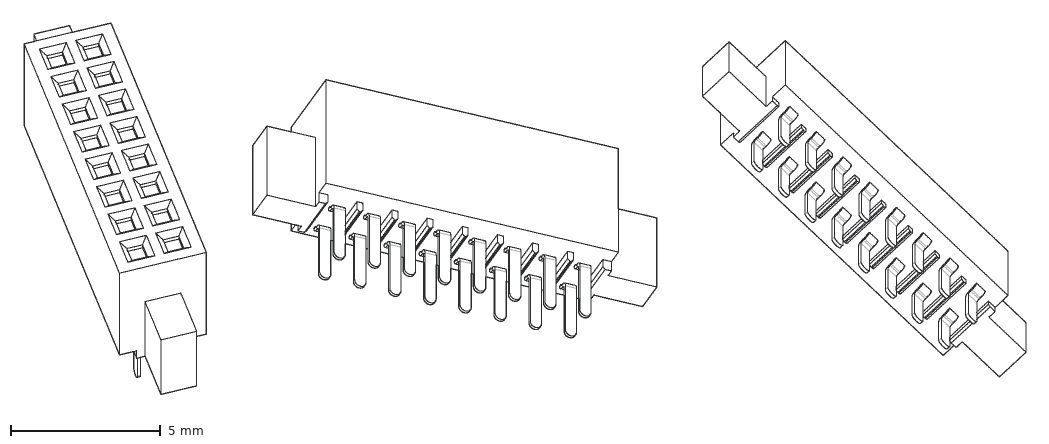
import cadquery as cq

COLUMNS = 8
PITCH = 1.27
column_xs = [(i - (COLUMNS - 1) / 2) * PITCH for i in range(COLUMNS)]
row_ys = [-PITCH / 2, PITCH / 2]

TOTAL_LENGTH = 14.1
BODY_LENGTH = 10.58
BODY_WIDTH = 3.05
BODY_HEIGHT = 4.2
TOTAL_HEIGHT = 6.49

EAR_WIDTH = 1.25
EAR_TOP = 2.43

STANDOFF = 0.38
RIB_WIDTH = 1.83
RIB_THICKNESS = 0.21
RIB_CHAMFER = 0.08

SOCKET_MOUTH = 0.95
SOCKET_BORE = 0.55
FUNNEL_DEPTH = 0.2
SOCKET_DEPTH = 0.35

PIN_WIDTH = 0.41
PIN_THICKNESS = 0.12
PIN_BOTTOM = BODY_HEIGHT - TOTAL_HEIGHT
CRANK_OFFSET = 0.4
CRANK_TOP = -0.08
BEND_OUTER_DIAMETER = 0.45
PIN_ROOT = 0.42


def box(length, width, bottom, top):
    """Block centred on the Z axis between two heights."""
    return cq.Workplane("XY").workplane(offset=bottom).rect(length, width).extrude(top - bottom)


def make_housing():
    """Body with an ear at each end reaching down to the foot of the standoffs."""
    ears = box(TOTAL_LENGTH, EAR_WIDTH, -STANDOFF, EAR_TOP)
    ears = ears.cut(box(BODY_LENGTH, EAR_WIDTH, -STANDOFF, 0))
    return box(BODY_LENGTH, BODY_WIDTH, 0, BODY_HEIGHT).union(ears)


def make_standoffs():
    """Bar under the housing, cut into ribs by an open gap around every contact column."""
    bar = box(BODY_LENGTH, RIB_WIDTH, -STANDOFF, 0)
    half_gap = (PITCH - RIB_THICKNESS) / 2
    gap = (
        cq.Workplane("XZ")
        .moveTo(-half_gap, 0)
        .lineTo(half_gap, 0)
        .lineTo(half_gap, RIB_CHAMFER - STANDOFF)
        .lineTo(half_gap + RIB_CHAMFER, -STANDOFF)
        .lineTo(-half_gap - RIB_CHAMFER, -STANDOFF)
        .lineTo(-half_gap, RIB_CHAMFER - STANDOFF)
        .close()
        .extrude(RIB_WIDTH / 2, both=True)
    )
    for x in column_xs:
        bar = bar.cut(gap.translate((x, 0, 0)))
    return bar


def make_socket():
    """Square funnel leading into a square bore, open at the top face."""
    funnel = (
        cq.Workplane("XY")
        .workplane(offset=BODY_HEIGHT - FUNNEL_DEPTH)
        .rect(SOCKET_BORE, SOCKET_BORE)
        .workplane(offset=FUNNEL_DEPTH)
        .rect(SOCKET_MOUTH, SOCKET_MOUTH)
        .loft()
    )
    bore = box(SOCKET_BORE, SOCKET_BORE, BODY_HEIGHT - SOCKET_DEPTH, BODY_HEIGHT - FUNNEL_DEPTH)
    return funnel.union(bore)


def make_pin():
    """Strip with a double bend and a round tip, its lower leg centred on Y = 0."""
    bend = (BEND_OUTER_DIAMETER - PIN_THICKNESS) / 2
    crank_level = CRANK_TOP - PIN_THICKNESS / 2
    centreline = (
        cq.Workplane("YZ")
        .moveTo(0, PIN_BOTTOM)
        .lineTo(0, crank_level - bend)
        .tangentArcPoint((bend, crank_level), relative=False)
        .lineTo(CRANK_OFFSET - bend, crank_level)
        .tangentArcPoint((CRANK_OFFSET, crank_level + bend), relative=False)
        .lineTo(CRANK_OFFSET, PIN_ROOT)
    )
    strip = cq.Workplane("XY").workplane(offset=PIN_BOTTOM).rect(PIN_WIDTH, PIN_THICKNESS).sweep(centreline)

    tip_radius = PIN_WIDTH / 2
    tip_top = PIN_BOTTOM + tip_radius
    tip_waste = (
        cq.Workplane("XZ")
        .moveTo(-tip_radius, tip_top)
        .threePointArc((0, PIN_BOTTOM), (tip_radius, tip_top))
        .lineTo(tip_radius, PIN_BOTTOM)
        .lineTo(-tip_radius, PIN_BOTTOM)
        .close()
        .extrude(PIN_THICKNESS, both=True)
    )
    return strip.cut(tip_waste)


result = make_housing().union(make_standoffs())
socket = make_socket()
pin = make_pin()
for x in column_xs:
    for y in row_ys:
        result = result.cut(socket.translate((x, y, 0)))
        result = result.union(pin.translate((x, y, 0)))